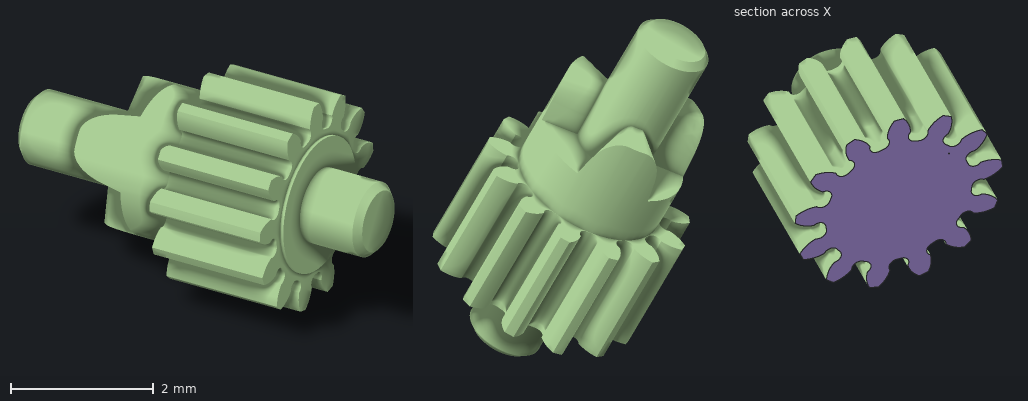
import cadquery as cq
import math

overall_length = 5.6
jaw_tip_x = 1.25
jaw_root_x = 2.05
gear_start_x = 2.795
gear_end_x = 4.59
hub_end_x = 4.64

journal_radius = 0.55
journal_chamfer = 0.1
collar_radius = 1.105
hub_radius = 1.0

jaw_count = 3
first_jaw_angle = 30.0
jaw_root_half_angle = 30.0
jaw_shoulder_half_angle = 26.7
jaw_tip_half_angle = 7.7
jaw_shoulder_x = 1.74
nose_lead_x = 1.435
nose_lead_half_angle = 23.4
nose_tip_x = 1.265
nose_tip_half_angle = 15.0
jaw_inner_distance = 0.28
jaw_outer_distance = 1.12

tooth_count = 13
tip_radius = 1.575
pitch_radius = 1.28
root_radius = 1.11
tooth_half_width = 0.18
addendum_arc_radius = 0.48
root_land_width = 0.07


def cylinder(start_x, end_x, radius):
    return cq.Workplane("YZ").workplane(offset=start_x).circle(radius).extrude(end_x - start_x)


def polar(radius, angle):
    """Point at a radius, with the angle in radians from the tooth centreline (+Y of the sketch)."""
    return (-radius * math.sin(angle), radius * math.cos(angle))


def make_journals():
    return cylinder(0, overall_length, journal_radius).faces("<X or >X").chamfer(journal_chamfer)


def jaw_wire(distance):
    """Jaw outline in a plane square to its centreline, scaled so that all flanks are radial."""

    def point(x, half_angle):
        return cq.Vector(x, distance * math.tan(math.radians(half_angle)), distance)

    def mirrored(vector):
        return cq.Vector(vector.x, -vector.y, vector.z)

    root = point(jaw_root_x, jaw_root_half_angle)
    shoulder = point(jaw_shoulder_x, jaw_shoulder_half_angle)
    tip = point(jaw_tip_x, jaw_tip_half_angle)
    nose = [
        shoulder,
        point(nose_lead_x, nose_lead_half_angle),
        point(nose_tip_x, nose_tip_half_angle),
        tip,
    ]
    opposite_nose = [mirrored(vector) for vector in reversed(nose)]
    edges = [
        cq.Edge.makeLine(root, shoulder),
        cq.Edge.makeBezier(nose),
        cq.Edge.makeLine(tip, mirrored(tip)),
        cq.Edge.makeBezier(opposite_nose),
        cq.Edge.makeLine(mirrored(shoulder), mirrored(root)),
        cq.Edge.makeLine(mirrored(root), root),
    ]
    return cq.Wire.assembleEdges(edges)


def make_jaws():
    wires = [jaw_wire(jaw_inner_distance), jaw_wire(jaw_outer_distance)]
    wedge = cq.Workplane(cq.Solid.makeLoft(wires, True))
    jaw = wedge.intersect(cylinder(jaw_tip_x, jaw_root_x, collar_radius))
    jaws = cq.Workplane()
    for index in range(jaw_count):
        angle = first_jaw_angle + index * 360 / jaw_count - 90
        jaws = jaws.add(jaw.rotate((0, 0, 0), (1, 0, 0), angle))
    return jaws.combine()


def make_pinion():
    pitch_angle = 2 * math.pi / tooth_count
    flank_angle = math.asin(tooth_half_width / pitch_radius)

    arc_centre_offset = tooth_half_width - addendum_arc_radius
    arc_base = pitch_radius * math.cos(flank_angle)

    def addendum_point(height):
        half_width = arc_centre_offset + math.sqrt(addendum_arc_radius**2 - height**2)
        radius = math.hypot(half_width, arc_base + height)
        return radius, math.atan2(half_width, arc_base + height)

    mid_radius, mid_angle = addendum_point((tip_radius - arc_base) / 2)
    tip_angle = addendum_point(tip_radius - arc_base)[1]

    root_angle = (pitch_angle - root_land_width / root_radius) / 2
    hollow_turn = root_angle - flank_angle
    along = pitch_radius * math.cos(hollow_turn) - root_radius
    across = pitch_radius * math.sin(hollow_turn)
    hollow_radius = (along**2 + across**2) / (2 * along)
    half_sweep = math.atan2(across, hollow_radius - along) / 2
    middle_along = root_radius + hollow_radius * (1 - math.cos(half_sweep))
    middle_across = hollow_radius * math.sin(half_sweep)
    hollow_middle_radius = math.hypot(middle_along, middle_across)
    hollow_middle_angle = root_angle - math.atan2(middle_across, middle_along)

    outline = cq.Workplane("YZ").workplane(offset=gear_start_x)
    outline = outline.moveTo(*polar(root_radius, -root_angle))
    for index in range(tooth_count):
        centre = index * pitch_angle
        land_middle = centre + pitch_angle / 2
        next_tooth = centre + pitch_angle
        outline = (
            outline.threePointArc(
                polar(hollow_middle_radius, centre - hollow_middle_angle),
                polar(pitch_radius, centre - flank_angle),
            )
            .threePointArc(polar(mid_radius, centre - mid_angle), polar(tip_radius, centre - tip_angle))
            .threePointArc(polar(tip_radius, centre), polar(tip_radius, centre + tip_angle))
            .threePointArc(polar(mid_radius, centre + mid_angle), polar(pitch_radius, centre + flank_angle))
            .threePointArc(
                polar(hollow_middle_radius, centre + hollow_middle_angle),
                polar(root_radius, centre + root_angle),
            )
            .threePointArc(polar(root_radius, land_middle), polar(root_radius, next_tooth - root_angle))
        )
    return outline.close().extrude(gear_end_x - gear_start_x)


collar = cylinder(jaw_root_x, gear_start_x, collar_radius)
hub = cylinder(gear_end_x, hub_end_x, hub_radius)

result = make_journals().union(collar).union(make_pinion()).union(hub).union(make_jaws())